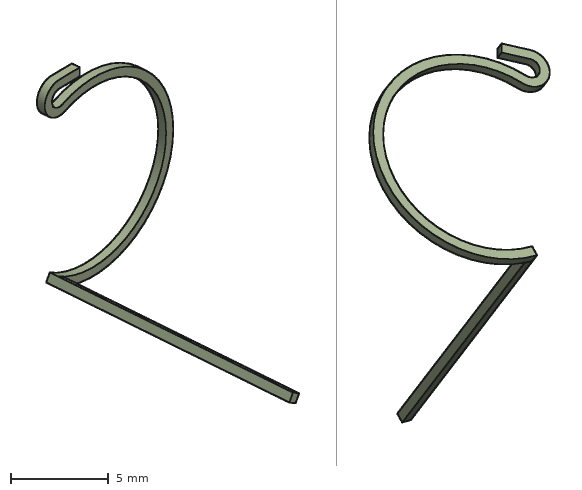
import cadquery as cq
import math

wire = 0.55
stem_end = 16.8
ring_outer = 6.05
ring_end_angle = -120.0
hook_outer = 1.11
hook_offset = 2.62
hook_tail = 1.56
hook_end_angle = -270.0

ring_inner = ring_outer - wire
hook_inner = hook_outer - wire

center_distance = ring_inner + hook_outer
hook_height = math.sqrt(center_distance**2 - hook_offset**2)
ring_center = (0.0, 0.0)
hook_center = (-hook_offset, hook_height)
junction_angle = math.degrees(math.atan2(hook_height, -hook_offset))
hook_start_angle = junction_angle - 180.0


def polar(center, radius, angle):
    """Point (Y, Z) at an angle in degrees around a center."""
    turn = math.radians(angle)
    return (center[0] + radius * math.cos(turn), center[1] + radius * math.sin(turn))


def arc_to(outline, center, radius, start, end):
    """Continue the outline along an arc between two angles."""
    middle = polar(center, radius, (start + end) / 2)
    return outline.threePointArc(middle, polar(center, radius, end))


def make_hooked_ring():
    tail_tip = hook_center[0] + hook_tail
    hook_top = hook_center[1] + hook_outer
    outline = cq.Workplane("YZ").moveTo(*polar(ring_center, ring_outer, ring_end_angle))
    outline = arc_to(outline, ring_center, ring_outer, ring_end_angle, junction_angle)
    outline = arc_to(outline, hook_center, hook_inner, hook_start_angle, hook_end_angle)
    outline = outline.lineTo(tail_tip, hook_top - wire)
    outline = outline.lineTo(tail_tip, hook_top)
    outline = outline.lineTo(hook_center[0], hook_top)
    outline = arc_to(outline, hook_center, hook_outer, hook_end_angle, hook_start_angle)
    outline = arc_to(outline, ring_center, ring_inner, junction_angle, ring_end_angle)
    return outline.close().extrude(wire)


def make_stem():
    """Square bar leaving the +X side of the ring, flush with the ring end face."""
    inner = polar(ring_center, ring_inner, ring_end_angle)
    outer = polar(ring_center, ring_outer, ring_end_angle)
    back_outer = polar(outer, wire, ring_end_angle + 90)
    back_inner = polar(inner, wire, ring_end_angle + 90)
    profile = cq.Workplane("YZ", origin=(wire, 0, 0)).polyline([inner, outer, back_outer, back_inner])
    return profile.close().extrude(stem_end - wire)


result = make_hooked_ring().union(make_stem())